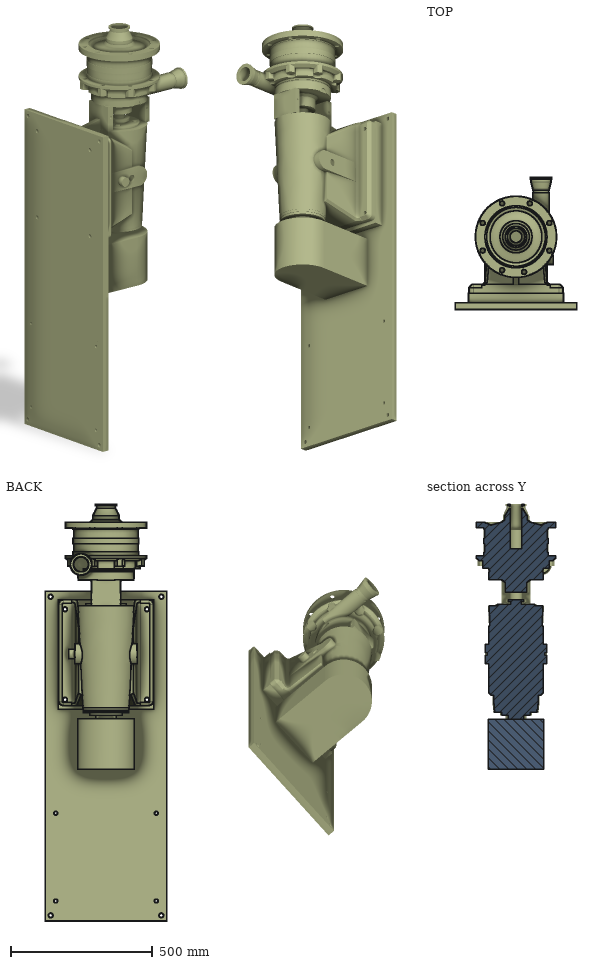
import cadquery as cq
import math


OVERALL_HEIGHT = 1476.3
OUTLET_FACE_Y = 210.0
PLATE_WIDTH, PLATE_HEIGHT, PLATE_THICKNESS = 431.8, 1168.4, 25.4
PLATE_BACK_Y = OUTLET_FACE_Y - 468.15
PLATE_FRONT_Y = PLATE_BACK_Y + PLATE_THICKNESS

RISER_WIDTH, RISER_BOTTOM_Z, RISER_TOP_Z = 337.0, 750.0, 1137.5
FOOT_SEAT_Y = -200.0
FOOT_WIDTH, FOOT_BOTTOM_Z, FOOT_CORNER_RADIUS = 334.0, 763.0, 16.0
FOOT_TOP_Y = -168.0
FOOT_EDGE_RADIUS = 12.0

CORNER_HOLE_INSET, CORNER_HOLE_DIAMETER = 20.0, 15.0
FOOT_HOLE_X, FOOT_HOLE_LOW_Z, FOOT_HOLE_HIGH_Z, FOOT_HOLE_DIAMETER = 145.0, 784.0, 1104.0, 15.0
MOTOR_HOLE_X, MOTOR_HOLE_LOW_Z, MOTOR_HOLE_HIGH_Z, MOTOR_HOLE_DIAMETER = 178.0, 71.0, 382.0, 12.0

GUARD_RADIUS, GUARD_BOTTOM_Z, GUARD_TOP_Z = 100.0, 537.0, 716.0

FLANGE_RADIUS, BOLT_CIRCLE_RADIUS, BOLT_HOLE_DIAMETER = 144.0, 128.0, 17.0
COVER_TOP_Z, COVER_BOTTOM_Z = 1413.0, 1391.0
CASING_RADIUS, BAND_RADIUS = 115.0, 117.0
LOWER_FLANGE_TOP_Z, LOWER_FLANGE_RIM_Z, LOWER_FLANGE_BOTTOM_Z = 1294.0, 1285.0, 1275.0
LOWER_FLANGE_NECK_RADIUS = 132.0
BACK_RING_RADIUS, BACK_RING_BOTTOM_Z = 121.0, 1248.0
BOLT_ANGLES = [22.5 + 45 * i for i in range(8)]
SHIFTED_HOLE, SHIFTED_HOLE_ANGLE = 6, 283.0
COVER_HOLE_ANGLES = [SHIFTED_HOLE_ANGLE if i == SHIFTED_HOLE else a for i, a in enumerate(BOLT_ANGLES)]
BOLT_HEAD_FLATS, BOLT_HEAD_BOTTOM_Z, BOLT_POCKET_RADIUS = 30.0, 1257.0, 19.0

OUTLET_X, OUTLET_Z, OUTLET_PIPE_RADIUS, OUTLET_BORE_RADIUS = 88.5, 1263.0, 30.0, 26.0

ADAPTER_RADIUS, ADAPTER_BOTTOM_Z = 100.0, 1207.0
FRAME_TOP_RADIUS, FRAME_BOTTOM_RADIUS = 99.5, 82.0
FRAME_TOP_Z, FRAME_BOTTOM_Z = 1117.0, 756.0
SHAFT_RADIUS = 21.0
FRONT_ARM_FACE_Y = -96.5


def turned(points):
    """Solid of revolution about the pump axis from (radius, z) points."""
    return cq.Workplane("XZ").polyline(points).close().revolve(360, (0, 0), (0, 1))


def disc(radius, z_low, z_high):
    return cq.Workplane("XY").workplane(offset=z_low).circle(radius).extrude(z_high - z_low)


def block(x_low, x_high, y_low, y_high, z_low, z_high):
    size = (x_high - x_low, y_high - y_low, z_high - z_low)
    return cq.Workplane("XY").box(*size, centered=False).translate((x_low, y_low, z_low))


def rod_along_y(radius, x, z, y_low, y_high):
    return cq.Workplane("XY").circle(radius).extrude(y_high - y_low).rotate(
        (0, 0, 0), (1, 0, 0), -90).translate((x, y_low, z))


def rod_along_x(radius, y, z, x_low, x_high):
    return cq.Workplane("YZ").workplane(offset=x_low).center(y, z).circle(radius).extrude(x_high - x_low)


def on_bolt_circle(angles):
    """(x, y) points on the casing bolt circle."""
    return [
        (BOLT_CIRCLE_RADIUS * math.cos(math.radians(a)), BOLT_CIRCLE_RADIUS * math.sin(math.radians(a)))
        for a in angles
    ]


def drill_foot_holes(body):
    for x in (-FOOT_HOLE_X, FOOT_HOLE_X):
        for z in (FOOT_HOLE_LOW_Z, FOOT_HOLE_HIGH_Z):
            body = body.cut(rod_along_y(FOOT_HOLE_DIAMETER / 2, x, z, PLATE_BACK_Y, FOOT_TOP_Y))
    return body


def make_base():
    half_width = PLATE_WIDTH / 2
    base = block(-half_width, half_width, PLATE_BACK_Y, PLATE_FRONT_Y, 0, PLATE_HEIGHT)
    base = base.union(block(-RISER_WIDTH / 2, RISER_WIDTH / 2, PLATE_FRONT_Y, FOOT_SEAT_Y,
                            RISER_BOTTOM_Z, RISER_TOP_Z))
    base = drill_foot_holes(base)
    corner_x = half_width - CORNER_HOLE_INSET
    for side in (-1, 1):
        for z in (CORNER_HOLE_INSET, PLATE_HEIGHT - CORNER_HOLE_INSET):
            base = base.cut(rod_along_y(CORNER_HOLE_DIAMETER / 2, side * corner_x, z,
                                        PLATE_BACK_Y, PLATE_FRONT_Y))
        for z in (MOTOR_HOLE_LOW_Z, MOTOR_HOLE_HIGH_Z):
            base = base.cut(rod_along_y(MOTOR_HOLE_DIAMETER / 2, side * MOTOR_HOLE_X, z,
                                        PLATE_BACK_Y, PLATE_FRONT_Y))
    return base


def make_guard():
    return (
        cq.Workplane("XY").workplane(offset=GUARD_BOTTOM_Z)
        .moveTo(-GUARD_RADIUS, PLATE_FRONT_Y)
        .lineTo(GUARD_RADIUS, PLATE_FRONT_Y)
        .lineTo(GUARD_RADIUS, 0)
        .threePointArc((0, GUARD_RADIUS), (-GUARD_RADIUS, 0))
        .close()
        .extrude(GUARD_TOP_Z - GUARD_BOTTOM_Z)
    )


def make_casing():
    inlet_radius, inlet_lip_z = 38.0, OVERALL_HEIGHT - 6
    neck_radius, neck_z = 33.5, OVERALL_HEIGHT - 14
    spigot_radius, spigot_top_z, spigot_bottom_z = 47.0, 1435.0, 1421.0
    dish_radius = 57.0
    valley_radius, valley_z = 92.0, 1403.0
    rim_inner_radius, rim_outer_radius, rim_step_z = 104.0, 110.0, 1409.0
    casing = turned([
        (0, OVERALL_HEIGHT), (inlet_radius, OVERALL_HEIGHT), (inlet_radius, inlet_lip_z),
        (neck_radius, inlet_lip_z), (neck_radius, neck_z),
        (spigot_radius, spigot_top_z), (spigot_radius, spigot_bottom_z),
        (dish_radius, COVER_TOP_Z), (valley_radius, valley_z),
        (rim_inner_radius, rim_step_z), (rim_outer_radius, rim_step_z), (rim_outer_radius, COVER_TOP_Z),
        (FLANGE_RADIUS, COVER_TOP_Z), (FLANGE_RADIUS, COVER_BOTTOM_Z), (CASING_RADIUS, COVER_BOTTOM_Z),
        (CASING_RADIUS, LOWER_FLANGE_TOP_Z), (FLANGE_RADIUS, LOWER_FLANGE_TOP_Z),
        (FLANGE_RADIUS, LOWER_FLANGE_RIM_Z), (LOWER_FLANGE_NECK_RADIUS, LOWER_FLANGE_BOTTOM_Z),
        (0, LOWER_FLANGE_BOTTOM_Z),
    ])
    upper_band_bottom_z, lower_band_top_z = COVER_BOTTOM_Z - 4, 1307.0
    middle_band_bottom_z, middle_band_top_z = 1336.0, 1356.0
    bands = (
        (upper_band_bottom_z, COVER_BOTTOM_Z),
        (middle_band_bottom_z, middle_band_top_z),
        (LOWER_FLANGE_TOP_Z, lower_band_top_z),
    )
    for z_low, z_high in bands:
        casing = casing.union(disc(BAND_RADIUS, z_low, z_high))

    back_ring = disc(BACK_RING_RADIUS, BACK_RING_BOTTOM_Z, LOWER_FLANGE_BOTTOM_Z)
    bolt_plane = cq.Workplane("XY").workplane(offset=BACK_RING_BOTTOM_Z)
    pockets = bolt_plane.pushPoints(on_bolt_circle(BOLT_ANGLES)).circle(BOLT_POCKET_RADIUS).extrude(
        LOWER_FLANGE_BOTTOM_Z - BACK_RING_BOTTOM_Z)
    casing = casing.union(back_ring.cut(pockets))
    head_diameter = BOLT_HEAD_FLATS / math.cos(math.radians(30))
    heads = (
        cq.Workplane("XY").workplane(offset=BOLT_HEAD_BOTTOM_Z)
        .pushPoints(on_bolt_circle(BOLT_ANGLES)).polygon(6, head_diameter)
        .extrude(LOWER_FLANGE_RIM_Z - BOLT_HEAD_BOTTOM_Z)
    )
    casing = casing.union(heads)

    recess_depth = 6.0
    for angles, z_low, z_high in (
        (COVER_HOLE_ANGLES, COVER_BOTTOM_Z, COVER_TOP_Z),
        (BOLT_ANGLES, LOWER_FLANGE_TOP_Z - recess_depth, LOWER_FLANGE_TOP_Z),
    ):
        holes = (
            cq.Workplane("XY").workplane(offset=z_low)
            .pushPoints(on_bolt_circle(angles)).circle(BOLT_HOLE_DIAMETER / 2).extrude(z_high - z_low)
        )
        casing = casing.cut(holes)
    return casing


def bore_inlet(casing):
    """Inlet bore with the impeller nose standing in it."""
    bore_radius, bore_bottom_z = 31.0, 1320.0
    nose_radius, nose_top_z = 21.0, 1385.0
    casing = casing.cut(disc(bore_radius, bore_bottom_z, OVERALL_HEIGHT))
    return casing.union(disc(nose_radius, bore_bottom_z, nose_top_z))


def add_outlet(casing):
    """Stepped outlet pipe along +Y, leaving the casing tangentially on the +X side."""
    groove_radius, groove_start_y, groove_end_y = OUTLET_PIPE_RADIUS - 2, 156.0, 165.0
    reducer_start_y, reducer_end_y, reducer_wide_radius = 170.0, 195.0, 36.0
    lip_radius, lip_start_y = 38.5, OUTLET_FACE_Y - 7
    bore_depth = 150.0
    outlet = (
        cq.Workplane("XY")
        .polyline([
            (0, 0), (OUTLET_PIPE_RADIUS, 0), (OUTLET_PIPE_RADIUS, groove_start_y),
            (groove_radius, groove_start_y), (groove_radius, groove_end_y),
            (OUTLET_PIPE_RADIUS, groove_end_y), (OUTLET_PIPE_RADIUS, reducer_start_y),
            (reducer_wide_radius, reducer_end_y), (reducer_wide_radius, lip_start_y),
            (lip_radius, lip_start_y), (lip_radius, OUTLET_FACE_Y), (0, OUTLET_FACE_Y),
        ]).close().revolve(360, (0, 0), (0, 1)).translate((OUTLET_X, 0, OUTLET_Z))
    )
    bore = rod_along_y(OUTLET_BORE_RADIUS, OUTLET_X, OUTLET_Z, OUTLET_FACE_Y - bore_depth, OUTLET_FACE_Y)
    return casing.union(outlet).cut(bore)


def make_drive():
    hub_radius, hub_flare_radius, hub_flare_z, hub_bottom_z = 46.0, 55.0, 1199.0, 1163.0
    collar_radius, collar_top_z, collar_bottom_z = 37.0, 1139.0, 1130.0
    seat_radius, top_cap_radius, top_cap_z = 31.0, 72.0, 1123.0
    ring_radius, ring_groove_radius, ring_groove_top_z, ring_groove_bottom_z = 81.0, 79.0, 746.5, 742.5
    ring_bottom_z = 738.0
    end_cap_radius, end_cap_bottom_z = 57.0, 728.0
    groove_radius, groove_top_z, groove_bottom_z = 97.0, 1242.0, 1237.0
    drive = turned([
        (0, BACK_RING_BOTTOM_Z), (ADAPTER_RADIUS, BACK_RING_BOTTOM_Z), (ADAPTER_RADIUS, groove_top_z),
        (groove_radius, groove_top_z), (groove_radius, groove_bottom_z),
        (ADAPTER_RADIUS, groove_bottom_z), (ADAPTER_RADIUS, ADAPTER_BOTTOM_Z),
        (hub_flare_radius, ADAPTER_BOTTOM_Z), (hub_radius, hub_flare_z), (hub_radius, hub_bottom_z),
        (SHAFT_RADIUS, hub_bottom_z), (SHAFT_RADIUS, collar_top_z),
        (collar_radius, collar_top_z), (collar_radius, collar_bottom_z),
        (seat_radius, collar_bottom_z), (seat_radius, top_cap_z),
        (top_cap_radius, top_cap_z), (top_cap_radius, FRAME_TOP_Z),
        (FRAME_TOP_RADIUS, FRAME_TOP_Z), (FRAME_BOTTOM_RADIUS, FRAME_BOTTOM_Z),
        (ring_radius, FRAME_BOTTOM_Z), (ring_radius, ring_groove_top_z),
        (ring_groove_radius, ring_groove_top_z), (ring_groove_radius, ring_groove_bottom_z),
        (ring_radius, ring_groove_bottom_z), (ring_radius, ring_bottom_z),
        (end_cap_radius, ring_bottom_z), (end_cap_radius, end_cap_bottom_z),
        (collar_radius, end_cap_bottom_z), (collar_radius, GUARD_TOP_Z), (0, GUARD_TOP_Z),
    ])
    notch_radius, notch_depth = 15.0, 5.0
    notch_floor_x = ADAPTER_RADIUS - notch_depth
    drive = drive.cut(rod_along_x(notch_radius, 0, ADAPTER_BOTTOM_Z, notch_floor_x, ADAPTER_RADIUS))
    drive = drive.cut(rod_along_x(notch_radius, 0, ADAPTER_BOTTOM_Z, -ADAPTER_RADIUS, -notch_floor_x))
    bolt_count, bolt_circle_radius, bolt_diameter, bolt_height = 4, 56.0, 18.0, 4.0
    bolts = (
        cq.Workplane("XY").workplane(offset=top_cap_z)
        .polarArray(bolt_circle_radius, 45, 360, bolt_count).polygon(6, bolt_diameter).extrude(bolt_height)
    )
    return drive.union(bolts)


def make_arms():
    """Two flat arms that carry the adapter, each with a cross hole."""
    half_width = 52.0
    rear_inner_y, rear_outer_y = 76.0, 95.0
    front_inner_y = -72.0
    front_foot_z = FRAME_TOP_Z - 30
    rear_foot_z = FRAME_TOP_Z - 1
    hole_y, hole_z, hole_radius = 83.0, 1166.0, 4.0
    top_z = ADAPTER_BOTTOM_Z + 1
    rear_arm = block(-half_width, half_width, rear_inner_y, rear_outer_y, rear_foot_z, top_z)
    front_arm = block(-half_width, half_width, FRONT_ARM_FACE_Y, front_inner_y, front_foot_z, top_z)
    arms = rear_arm.union(front_arm)
    for y in (-hole_y, hole_y):
        arms = arms.cut(rod_along_x(hole_radius, y, hole_z, -half_width, half_width))
    return arms


def make_foot():
    half_width = FOOT_WIDTH / 2
    foot = block(-half_width, half_width, FOOT_SEAT_Y, FOOT_TOP_Y, FOOT_BOTTOM_Z, RISER_TOP_Z)
    foot = foot.edges("|Y").fillet(FOOT_CORNER_RADIUS)
    foot = foot.faces(">Y").edges().chamfer(FOOT_EDGE_RADIUS)
    return drill_foot_holes(foot)


def make_stand():
    """Tapered pedestal between bearing frame and foot."""
    crest_y, crest_top_z, crest_bottom_z = -22.0, 1051.0, 800.0
    crest_half_width, root_half_width = 97.0, 109.5
    flare_radius, edge_chamfer = 12.0, 8.0
    flare_start_y = FOOT_TOP_Y + flare_radius
    flare_mid = flare_radius * (1 - math.sqrt(0.5))
    plan = (
        cq.Workplane("XY").workplane(offset=FOOT_BOTTOM_Z)
        .moveTo(-crest_half_width, crest_y)
        .lineTo(crest_half_width, crest_y)
        .lineTo(root_half_width, flare_start_y)
        .threePointArc((root_half_width + flare_mid, FOOT_TOP_Y + flare_mid),
                       (root_half_width + flare_radius, FOOT_TOP_Y))
        .lineTo(root_half_width + flare_radius, FOOT_SEAT_Y)
        .lineTo(-root_half_width - flare_radius, FOOT_SEAT_Y)
        .lineTo(-root_half_width - flare_radius, FOOT_TOP_Y)
        .threePointArc((-root_half_width - flare_mid, FOOT_TOP_Y + flare_mid),
                       (-root_half_width, flare_start_y))
        .close().extrude(RISER_TOP_Z - FOOT_BOTTOM_Z)
    )
    side = (
        cq.Workplane("YZ").polyline([
            (crest_y, crest_bottom_z), (crest_y, crest_top_z),
            (FOOT_TOP_Y, RISER_TOP_Z), (FOOT_SEAT_Y, RISER_TOP_Z),
            (FOOT_SEAT_Y, FOOT_BOTTOM_Z), (FOOT_TOP_Y, FOOT_BOTTOM_Z),
        ]).close().extrude(FOOT_WIDTH / 2, both=True)
    )
    stand = plan.intersect(side)
    for z_low, z_high in ((crest_top_z, RISER_TOP_Z), (FOOT_BOTTOM_Z, crest_bottom_z)):
        edges = stand.edges(cq.selectors.BoxSelector(
            (-FOOT_WIDTH, flare_start_y, z_low), (FOOT_WIDTH, crest_y, z_high))).edges("not(|X or |Z)")
        stand = stand.newObject(edges.vals()).chamfer(edge_chamfer)
    return stand


def make_lugs():
    """Round-ended lugs on both sides of the stand, each with a blind hole."""
    lug_face_x, lug_root_x = 110.5, 60.0
    lug_z, lug_radius, lug_end_y = 946.0, 35.5, 36.0
    bevel_mid_y, bevel_top_y, bevel_drop = 7.0, 18.0, 26.0
    hole_y, hole_radius, hole_depth = -36.0, 12.5, 7.0
    center_y = lug_end_y - lug_radius
    outline = (
        cq.Workplane("YZ").workplane(offset=lug_root_x)
        .moveTo(center_y, lug_z + lug_radius)
        .threePointArc((lug_end_y, lug_z), (center_y, lug_z - lug_radius))
        .lineTo(FOOT_TOP_Y, lug_z - lug_radius)
        .lineTo(FOOT_TOP_Y + bevel_mid_y, lug_z + lug_radius - bevel_drop)
        .lineTo(FOOT_TOP_Y + bevel_top_y, lug_z + lug_radius)
        .close().extrude(lug_face_x - lug_root_x)
    )
    lug = outline.cut(rod_along_x(hole_radius, hole_y, lug_z, lug_face_x - hole_depth, lug_face_x))
    plug_radius, plug_y, plug_end_x = 17.0, -82.0, 132.5
    plug = rod_along_x(plug_radius, plug_y, lug_z, lug_root_x, plug_end_x)
    return lug.union(lug.mirror("YZ")).union(plug)


def make_ribs():
    """Upper rib from the front arm down to the foot, and a short rib under the bearing frame."""
    half_thickness = 10.0
    upper_root_y, upper_bottom_z, upper_top_z = FRONT_ARM_FACE_Y + 10, 1060.0, 1152.0
    lower_front_y, lower_back_y, lower_top_z = -86.0, -60.0, 830.0
    upper = (
        cq.Workplane("YZ").polyline([
            (upper_root_y, upper_bottom_z), (upper_root_y, upper_top_z), (FRONT_ARM_FACE_Y, upper_top_z),
            (FOOT_TOP_Y, RISER_TOP_Z), (FOOT_TOP_Y, upper_bottom_z),
        ]).close().extrude(half_thickness, both=True)
    )
    lower = block(-half_thickness, half_thickness, lower_front_y, lower_back_y, FRAME_BOTTOM_Z, lower_top_z)
    return upper.union(lower)


def make_pump():
    pump = bore_inlet(add_outlet(make_casing()))
    for piece in (make_drive(), make_arms(), make_stand(), make_foot(), make_lugs(), make_ribs()):
        pump = pump.union(piece)
    return pump


base = make_base()
guard = make_guard()
pump = make_pump()
result = cq.Compound.makeCompound([base.val(), guard.val(), *pump.solids().vals()])